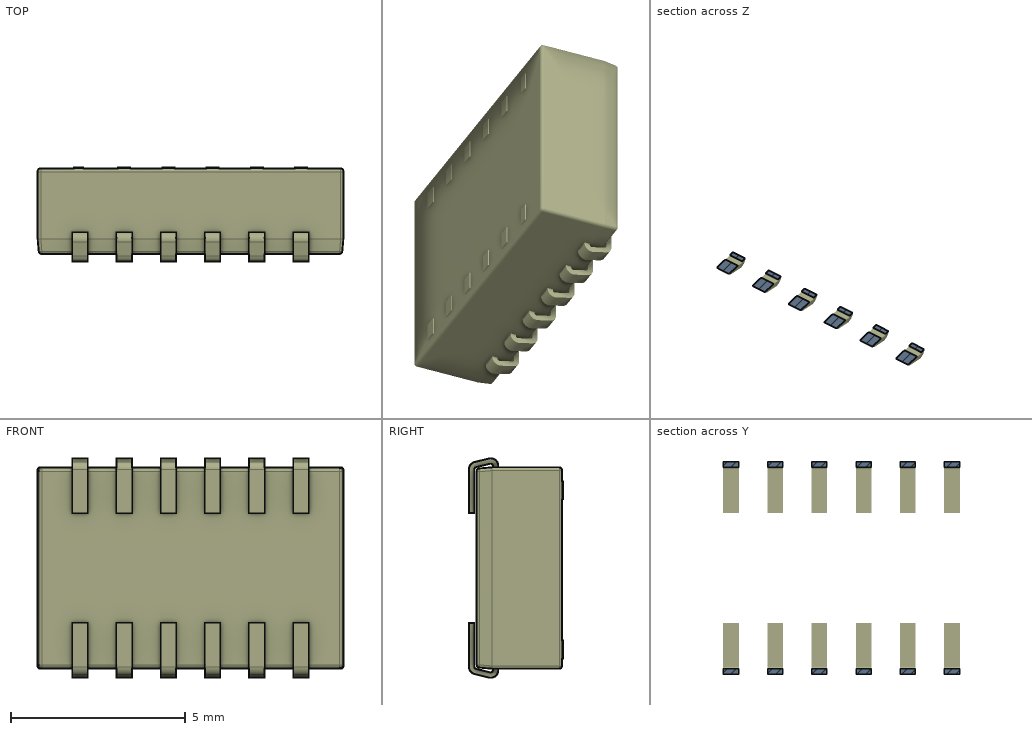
import cadquery as cq
import math

total_depth = 2.71
total_height = 6.31

body_length = 8.79
body_height = 5.79
standoff = 0.22
pad_relief = 0.03
edge_radius = 0.09
taper_depth = 0.44
draft_angle = 5.0

leads_per_row = 6
lead_pitch = 1.27
lead_width = 0.45
lead_thickness = 0.16
bend_radius = 0.225
lead_reach = 0.85
foot_bend_drop = 0.325
foot_length = 1.58
root_embed = 0.15

pad_width = 0.36
first_pad_width = 0.27
first_pad_shift = -0.04
pad_height = 0.52
upper_pad_z = 2.23
lower_pad_z = -2.34

seating_y = -total_depth / 2
body_front_y = seating_y + standoff
body_back_y = total_depth / 2 - pad_relief
crest_z = total_height / 2
lead_positions = [(i - (leads_per_row - 1) / 2) * lead_pitch for i in range(leads_per_row)]


def make_body():
    """Rounded block trimmed by a rounded wedge that drafts its front stretch inward."""
    body_depth = body_back_y - body_front_y
    block = cq.Workplane("XZ", origin=(0, body_back_y, 0)).rect(body_length, body_height)
    block = block.extrude(body_depth).edges("|Y or >Y").fillet(edge_radius)

    draft = math.tan(math.radians(draft_angle))
    front_inset = 2 * taper_depth * draft
    back_flare = 2 * (body_depth - taper_depth) * draft
    wedge = (
        cq.Workplane("XZ", origin=(0, body_back_y, 0))
        .rect(body_length + back_flare, body_height + back_flare)
        .workplane(offset=body_depth)
        .rect(body_length - front_inset, body_height - front_inset)
        .loft()
    )
    wedge = wedge.edges("not >Y").fillet(edge_radius)
    return block.intersect(wedge)


def make_lead(x):
    """Upper lead: a root rising from the body, a sloping bridge and a straight foot."""
    inner_radius = bend_radius - lead_thickness
    foot_center = (seating_y + bend_radius, crest_z - foot_bend_drop)
    root_center = (seating_y + lead_reach - bend_radius, crest_z - bend_radius)
    slope = math.atan2(root_center[1] - foot_center[1], root_center[0] - foot_center[0])
    bridge_normal = math.pi / 2 + slope
    foot_tip_z = crest_z - foot_length
    root_end_z = body_height / 2 - root_embed

    def on_bend(center, radius, angle):
        return (center[0] + radius * math.cos(angle), center[1] + radius * math.sin(angle))

    foot_mid = (math.pi + bridge_normal) / 2
    root_mid = bridge_normal / 2
    profile = (
        cq.Workplane("YZ", origin=(x - lead_width / 2, 0, 0))
        .moveTo(seating_y, foot_tip_z)
        .lineTo(*on_bend(foot_center, bend_radius, math.pi))
        .threePointArc(
            on_bend(foot_center, bend_radius, foot_mid),
            on_bend(foot_center, bend_radius, bridge_normal),
        )
        .lineTo(*on_bend(root_center, bend_radius, bridge_normal))
        .threePointArc(
            on_bend(root_center, bend_radius, root_mid),
            on_bend(root_center, bend_radius, 0),
        )
        .lineTo(seating_y + lead_reach, root_end_z)
        .lineTo(seating_y + lead_reach - lead_thickness, root_end_z)
        .lineTo(*on_bend(root_center, inner_radius, 0))
        .threePointArc(
            on_bend(root_center, inner_radius, root_mid),
            on_bend(root_center, inner_radius, bridge_normal),
        )
        .lineTo(*on_bend(foot_center, inner_radius, bridge_normal))
        .threePointArc(
            on_bend(foot_center, inner_radius, foot_mid),
            on_bend(foot_center, inner_radius, math.pi),
        )
        .lineTo(seating_y + lead_thickness, foot_tip_z)
        .close()
    )
    return profile.extrude(lead_width)


def make_pad(x, z, width):
    """Raised marker pad on the back face, sunk into the body by its own relief."""
    pad = cq.Workplane("XY").box(width, 2 * pad_relief, pad_height)
    return pad.translate((x, body_back_y, z))


result = make_body()
for lead_x in lead_positions:
    upper_lead = make_lead(lead_x)
    lower_lead = upper_lead.mirror("XY")
    result = result.union(upper_lead).union(lower_lead)

for pad_z in (upper_pad_z, lower_pad_z):
    result = result.union(make_pad(lead_positions[0] + first_pad_shift, pad_z, first_pad_width))
    for pad_x in lead_positions[1:]:
        result = result.union(make_pad(pad_x, pad_z, pad_width))